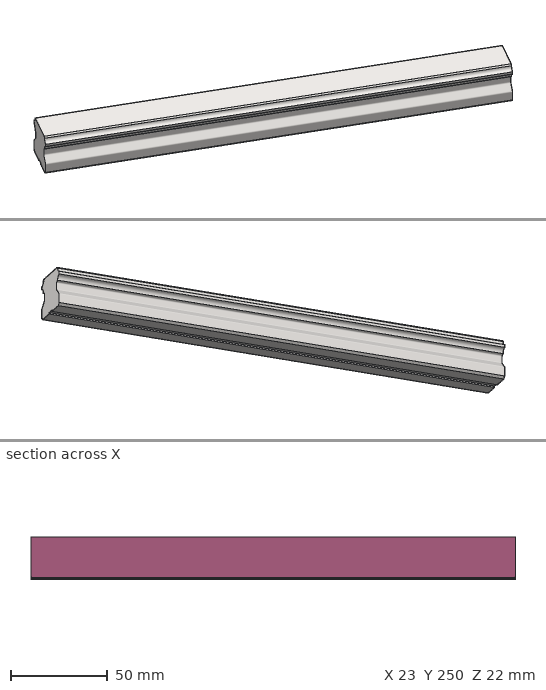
import cadquery as cq
import math

LENGTH = 250.0
WIDTH = 23.0
HEIGHT = 22.0

HEAD_HALF_WIDTH = 9.5
TOP_CHAMFER = 0.8
UPPER_TRACK_TOP = 21.0
LIP_TOP = 18.8
LIP_BOTTOM = 17.2
LIP_CHAMFER_WIDTH = 0.5
LIP_CHAMFER_HEIGHT = 0.2
LOWER_TRACK_BOTTOM = 14.5
TRACK_RADIUS = 2.2

WAIST_HALF_WIDTH = 8.0
WAIST_TOP = 13.8
WAIST_BOTTOM = 9.8
WAIST_TOP_FILLET = 0.8

SHOULDER_FILLET = 1.0
BASE_CHAMFER = 1.2
RELIEF_WIDTH = 3.8
RELIEF_DEPTH = 0.8

half_width = WIDTH / 2
shoulder_height = WAIST_BOTTOM - (half_width - WAIST_HALF_WIDTH)


def track_midpoint(start, end):
    """Middle of a concave track arc that bulges toward the rail's centre plane."""
    run = end[0] - start[0]
    rise = end[1] - start[1]
    chord = math.hypot(run, rise)
    bulge = TRACK_RADIUS - math.sqrt(TRACK_RADIUS**2 - (chord / 2) ** 2)
    inward_x = -abs(rise) / chord
    inward_z = run * math.copysign(1, rise) / chord
    middle_x = (start[0] + end[0]) / 2 + bulge * inward_x
    middle_z = (start[1] + end[1]) / 2 + bulge * inward_z
    return (middle_x, middle_z)


def half_rail():
    """Right half of the cross-section, extruded along the whole length."""
    lower_track_start = (HEAD_HALF_WIDTH, LOWER_TRACK_BOTTOM)
    lower_track_end = (half_width - LIP_CHAMFER_WIDTH, LIP_BOTTOM - LIP_CHAMFER_HEIGHT)
    upper_track_start = (half_width - LIP_CHAMFER_WIDTH, LIP_TOP + LIP_CHAMFER_HEIGHT)
    upper_track_end = (HEAD_HALF_WIDTH, UPPER_TRACK_TOP)
    outline = (
        cq.Workplane("XZ", origin=(0, LENGTH / 2, 0))
        .moveTo(0, RELIEF_DEPTH)
        .lineTo(RELIEF_WIDTH / 2, RELIEF_DEPTH)
        .lineTo(RELIEF_WIDTH / 2, 0)
        .lineTo(half_width - BASE_CHAMFER, 0)
        .lineTo(half_width, BASE_CHAMFER)
        .lineTo(half_width, shoulder_height)
        .lineTo(WAIST_HALF_WIDTH, WAIST_BOTTOM)
        .lineTo(WAIST_HALF_WIDTH, WAIST_TOP)
        .lineTo(*lower_track_start)
        .threePointArc(track_midpoint(lower_track_start, lower_track_end), lower_track_end)
        .lineTo(half_width, LIP_BOTTOM)
        .lineTo(half_width, LIP_TOP)
        .lineTo(*upper_track_start)
        .threePointArc(track_midpoint(upper_track_start, upper_track_end), upper_track_end)
        .lineTo(HEAD_HALF_WIDTH, HEIGHT - TOP_CHAMFER)
        .lineTo(HEAD_HALF_WIDTH - TOP_CHAMFER, HEIGHT)
        .lineTo(0, HEIGHT)
        .close()
    )
    return outline.extrude(LENGTH)


def round_corner(body, x, z, radius):
    """Fillet the lengthwise edge that passes through (x, z)."""
    return body.edges(cq.selectors.NearestToPointSelector((x, 0, z))).fillet(radius)


right_half = half_rail()
right_half = round_corner(right_half, WAIST_HALF_WIDTH, WAIST_TOP, WAIST_TOP_FILLET)
right_half = round_corner(right_half, WAIST_HALF_WIDTH, WAIST_BOTTOM, SHOULDER_FILLET)
right_half = round_corner(right_half, half_width, shoulder_height, SHOULDER_FILLET)
result = right_half.union(right_half.mirror("YZ")).clean()